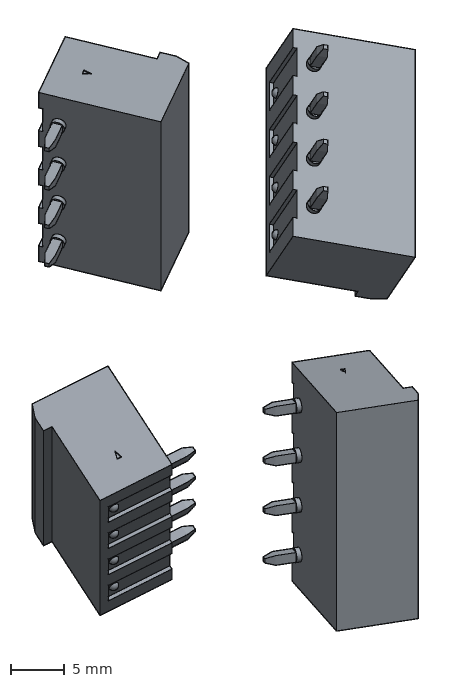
import cadquery as cq


pole_count = 4
pitch = 5.08
end_margin = 1.0
body_depth = 12.0
body_height = 7.7
body_length = pole_count * pitch + 2 * end_margin

lip_start = 9.0
lip_height = 0.9
lip_flat = 1.6
lip_drop = 0.5

recess_depth = 0.4
recess_width = 3.0
recess_height = 6.8
bump_offset = 6.0
bump_radius = 0.5

pin_offset = 2.0
collar_diameter = 1.4
collar_length = 0.5
pin_width = 1.0
shank_length = 2.0
tip_length = 1.0
tip_width = 0.45

mark_start = 3.05
mark_length = 0.8
mark_width = 0.45
mark_height = 3.9
mark_depth = 0.1

first_pole = end_margin + pitch / 2
pole_positions = [first_pole + pole * pitch for pole in range(pole_count)]


def make_housing():
    lip_top = body_height + lip_height
    return (
        cq.Workplane("XY")
        .lineTo(body_depth, 0)
        .lineTo(body_depth, lip_top - lip_drop)
        .lineTo(lip_start + lip_flat, lip_top)
        .lineTo(lip_start, lip_top)
        .lineTo(lip_start, body_height)
        .lineTo(0, body_height)
        .close()
        .extrude(body_length)
    )


def make_recess(z):
    """Shallow pocket in the back face, open at the mounting face."""
    return (
        cq.Workplane("XY", origin=(0, 0, z))
        .box(recess_depth, recess_height, recess_width, centered=(False, False, True))
    )


def make_bump(z):
    """Spherical cap on the recess floor, its crown level with the back face."""
    sphere_radius = (bump_radius**2 + recess_depth**2) / (2 * recess_depth)
    return cq.Workplane("XY", origin=(sphere_radius, bump_offset, z)).sphere(sphere_radius)


def make_pin(z):
    """Round collar, square shank and tapered tip, pointing towards -Y."""
    collar = (
        cq.Workplane("XZ", origin=(pin_offset, 0, z))
        .circle(collar_diameter / 2)
        .extrude(collar_length)
    )
    shank = collar.faces("<Y").workplane().rect(pin_width, pin_width).extrude(shank_length)
    return (
        shank.faces("<Y")
        .workplane()
        .rect(pin_width, pin_width)
        .workplane(offset=tip_length)
        .rect(tip_width, tip_width)
        .loft(combine=True)
    )


def make_pole_mark():
    """Engraved triangle pointing away from the back face."""
    return (
        cq.Workplane("XY", origin=(mark_start, mark_height, body_length))
        .moveTo(0, -mark_width / 2)
        .lineTo(mark_length, 0)
        .lineTo(0, mark_width / 2)
        .close()
        .extrude(-mark_depth)
    )


part = make_housing().cut(make_pole_mark())
for pole_z in pole_positions:
    part = part.cut(make_recess(pole_z))
    part = part.union(make_bump(pole_z))
    part = part.union(make_pin(pole_z))

result = part